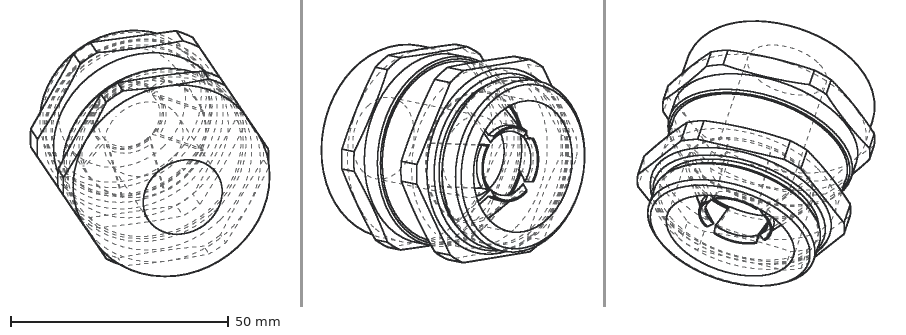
import cadquery as cq
import math


total_length = 48.0
thread_chamfer = 0.92
thread_end = 5.6
seal_start = 7.6
flange_start = 9.0
flange_end = 15.0
collar_start = 25.0
nut_start = 30.0
nut_end = 35.4

thread_diameter = 40.0
thread_root_diameter = thread_diameter - 2 * thread_chamfer
seal_diameter = 43.2
seal_face_diameter = 41.2
body_diameter = 42.0
collar_diameter = 44.1
collar_chamfer = 0.5
cap_diameter = 44.98
cap_rounding = 6.0

across_flats = 45.0
corner_diameter = 49.5
hex_chamfer_angle = 15.0

entry_bore_diameter = 30.54
entry_bore_depth = 16.5
insert_bore_diameter = 30.2
insert_bore_end = 17.0
cable_bore_diameter = 19.0

finger_count = 4
finger_width = 10.1
finger_tip_x = 4.3
finger_tip_inner_radius = 8.4
finger_lip_radius = 8.75
finger_lip_end = 6.2
finger_grip_x = 5.5
finger_grip_radius = 7.45
finger_slope = 0.65
finger_root_overlap = 0.5


def revolve_about_x(profile):
    """Turn a closed (x, radius) profile once around the X axis."""
    return profile.close().revolve(360, (0, 0, 0), (1, 0, 0))


def cylinder(diameter, start, end):
    return cq.Workplane("YZ", origin=(start, 0, 0)).circle(diameter / 2).extrude(end - start)


def turned_body():
    thread_radius = thread_diameter / 2
    root_radius = thread_root_diameter / 2
    seal_radius = seal_diameter / 2
    body_radius = body_diameter / 2
    collar_radius = collar_diameter / 2
    cap_radius = cap_diameter / 2
    eighth_turn = math.sqrt(0.5)
    seal_face_radius = seal_face_diameter / 2
    seal_length = flange_start - seal_start
    seal_rise = seal_radius - seal_face_radius
    seal_arc_radius = (seal_length**2 + seal_rise**2) / (2 * seal_rise)
    seal_arc_center = seal_radius - seal_arc_radius
    seal_arc_half_angle = math.asin(seal_length / seal_arc_radius) / 2
    cap_center_x = total_length - cap_rounding
    cap_center_radius = cap_radius - cap_rounding
    profile = (
        cq.Workplane("XY")
        .lineTo(0, root_radius)
        .lineTo(thread_chamfer, thread_radius)
        .lineTo(thread_end, thread_radius)
        .lineTo(thread_end + thread_chamfer, root_radius)
        .lineTo(seal_start, root_radius)
        .lineTo(seal_start, seal_face_radius)
        .threePointArc(
            (
                flange_start - seal_arc_radius * math.sin(seal_arc_half_angle),
                seal_arc_center + seal_arc_radius * math.cos(seal_arc_half_angle),
            ),
            (flange_start, seal_radius),
        )
        .lineTo(flange_start, body_radius)
        .lineTo(collar_start, body_radius)
        .lineTo(collar_start, collar_radius - collar_chamfer)
        .lineTo(collar_start + collar_chamfer, collar_radius)
        .lineTo(nut_start, collar_radius)
        .lineTo(nut_start, across_flats / 2)
        .lineTo(nut_end, across_flats / 2)
        .lineTo(cap_center_x, cap_radius)
        .threePointArc(
            (cap_center_x + cap_rounding * eighth_turn, cap_center_radius + cap_rounding * eighth_turn),
            (total_length, cap_center_radius),
        )
        .lineTo(total_length, 0)
    )
    return revolve_about_x(profile)


def hexagon(start, end, chamfer_start):
    """Hexagon with corners on the Y axis, turned corners and a chamfer at one or both ends."""
    corner_radius = corner_diameter / 2
    flat_radius = across_flats / 2
    chamfer_length = (corner_radius - flat_radius) * math.tan(math.radians(hex_chamfer_angle))
    prism = (
        cq.Workplane("YZ", origin=(start, 0, 0))
        .polygon(6, across_flats / math.cos(math.pi / 6))
        .extrude(end - start)
    )
    envelope = cq.Workplane("XY").moveTo(start, 0)
    if chamfer_start:
        envelope = envelope.lineTo(start, flat_radius).lineTo(start + chamfer_length, corner_radius)
    else:
        envelope = envelope.lineTo(start, corner_radius)
    envelope = envelope.lineTo(end - chamfer_length, corner_radius).lineTo(end, flat_radius).lineTo(end, 0)
    return prism.intersect(revolve_about_x(envelope))


def clamping_fingers():
    """Strips of a conical shell, rooted in the bore wall and tapering to the entry end."""
    root_radius = entry_bore_diameter / 2 + finger_root_overlap
    outer_root_x = finger_lip_end + (root_radius - finger_lip_radius) / finger_slope
    inner_root_x = finger_grip_x + (root_radius - finger_grip_radius) / finger_slope
    shell = revolve_about_x(
        cq.Workplane("XY")
        .moveTo(finger_tip_x, finger_tip_inner_radius)
        .lineTo(finger_tip_x, finger_lip_radius)
        .lineTo(finger_lip_end, finger_lip_radius)
        .lineTo(outer_root_x, root_radius)
        .lineTo(inner_root_x, root_radius)
        .lineTo(finger_grip_x, finger_grip_radius)
    )
    fingers = []
    for index in range(finger_count):
        strip = (
            cq.Workplane("XY")
            .box(total_length, finger_width, root_radius, centered=(False, True, False))
            .rotate((0, 0, 0), (1, 0, 0), index * 360 / finger_count)
        )
        fingers.append(shell.intersect(strip))
    return fingers


result = turned_body()
result = result.union(hexagon(flange_start, flange_end, chamfer_start=False))
result = result.union(hexagon(nut_start, nut_end, chamfer_start=True))
result = result.cut(cylinder(entry_bore_diameter, 0, entry_bore_depth))
result = result.cut(cylinder(insert_bore_diameter, 0, insert_bore_end))
result = result.cut(cylinder(cable_bore_diameter, 0, total_length))
for finger in clamping_fingers():
    result = result.union(finger)